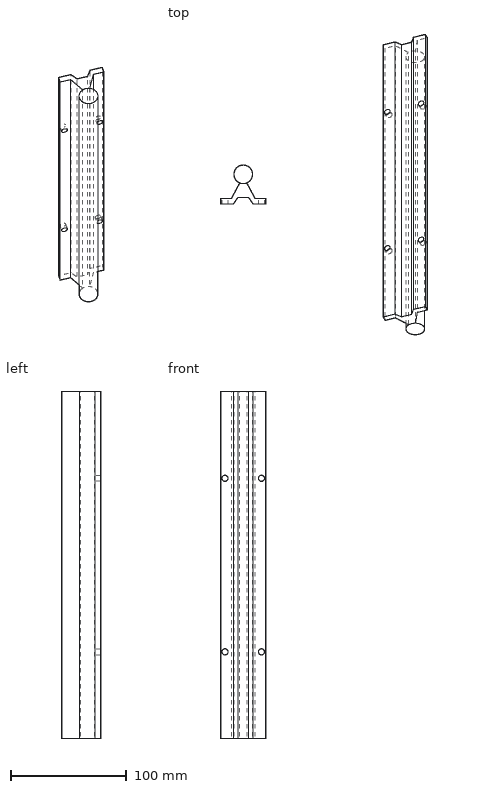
import cadquery as cq

length = 299.8
base_width = 39.3
overall_height = 34.0

shaft_diameter = 16.2
shaft_radius = shaft_diameter / 2
shaft_center_y = overall_height - shaft_radius

flange_thickness = 5.0
web_foot_width = 20.5
web_tip_width = 6.3
groove_mouth_width = 17.0
groove_roof_width = 9.3
groove_depth = 5.7

hole_diameter = 5.0
hole_spacing_x = 31.5
hole_spacing_z = 150.0


def make_shaft():
    """Round guide shaft running along Z."""
    return cq.Workplane("XY").center(0, shaft_center_y).circle(shaft_radius).extrude(length)


def mounting_holes():
    """Four cylinders along Y that pass through the flanges."""
    hole_centers = [
        (side * hole_spacing_x / 2, length / 2 + end * hole_spacing_z / 2)
        for side in (-1, 1)
        for end in (-1, 1)
    ]
    return (
        cq.Workplane("XZ")
        .pushPoints(hole_centers)
        .circle(hole_diameter / 2)
        .extrude(-flange_thickness)
    )


def make_support(shaft):
    """Flanged support whose web tip is a concave seat for the shaft."""
    web_tip_half = web_tip_width / 2
    web_tip_y = shaft_center_y - (shaft_radius**2 - web_tip_half**2) ** 0.5
    right_half = [
        (groove_roof_width / 2, groove_depth),
        (groove_mouth_width / 2, 0),
        (base_width / 2, 0),
        (base_width / 2, flange_thickness),
        (web_foot_width / 2, flange_thickness),
        (web_tip_half, web_tip_y),
    ]
    left_half = [(-x, y) for x, y in reversed(right_half)]
    section = right_half + left_half
    profile = cq.Workplane("XY").polyline(section).close().extrude(length)
    return profile.cut(shaft).cut(mounting_holes())


shaft = make_shaft()
support = make_support(shaft)

result = cq.Compound.makeCompound([shaft.val(), support.val()])